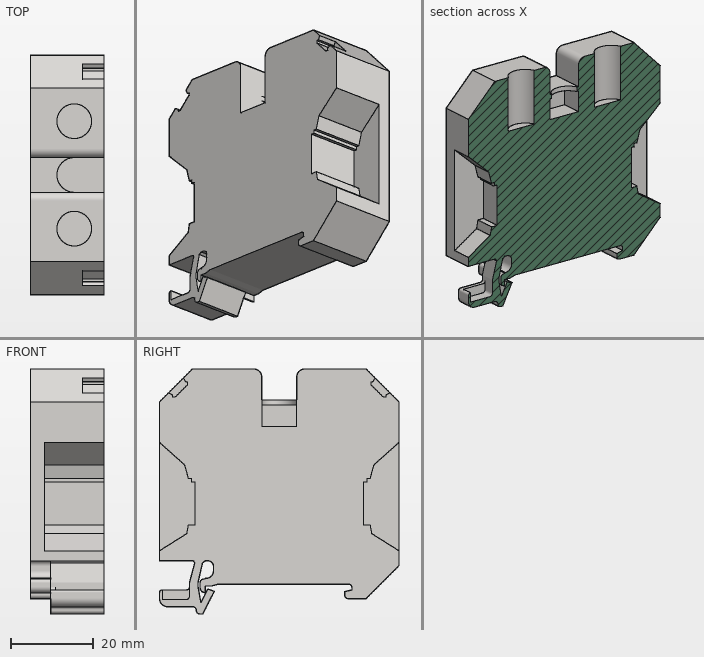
import cadquery as cq


thickness = 17.9
length = 58.0
height = 59.35
mid_y = length / 2

corner_chamfer = 8.0
shoulder_z = 12.85
rail_seat_z = 7.2
rail_seat_end_y = 14.2
foot_z = 3.7
foot_tip_y = 44.8
foot_groove_y = 46.55
foot_lip_z = 5.45
foot_lip_rise = 0.4
foot_round = 0.9
foot_groove_round = 0.7

relief_y = 13.05
relief_top_round = 1.3
relief_bottom_round = 1.75
relief_floor_z = 8.67
hook_y = 9.8
hook_inner_y = 11.1
hook_step_y = 11.0
hook_step_run = 0.15
hook_top_z = 8.5
hook_top_round = 1.0
hook_bottom_z = 5.15
hook_throat_z = 6.75
hook_throat_y = 12.6

slot_width = 8.4
slot_depth = 7.5
slot_round = 2.0
well_diameter = 8.4
well_x = 10.65
well_pitch = 26.0
well_depth = 14.0
cavity_roof = 1.2
cavity_wall = 3.5

pocket_wall = 3.5
pocket_top_z = 41.55
pocket_bottom_z = 15.3
pocket_ledge_y = 7.0
pocket_step_y = 7.8
pocket_throat_y = 6.6
pocket_top_throat_y = 6.1
pocket_floor_y = 8.65
funnel_top_z = 36.1
funnel_bottom_z = 19.45
floor_top_z = 32.0
floor_bottom_z = 21.6
upper_ledge_z = 32.85

marker_x = 12.6
marker_start = 2.2
marker_end = 5.8
marker_wall_run = 0.9
marker_wall_drop = 0.5
marker_step_run = 0.1
marker_step_drop = 0.55
marker_flat = 0.6

clip_x = 4.95
clip_weld = 0.5
leg_top_z = 12.35
leg_bend_z = 7.6
leg_outer_y = 7.25
leg_outer_top_y = 8.5
leg_outer_root_y = 8.2
leg_inner_y = 9.35
leg_inner_top_y = 10.45
leg_inner_root_y = 11.1
bar_top_z = 5.88
bar_bottom_z = 1.75
bar_top_round = 0.7
bar_bottom_round = 2.0
bar_fillet = 0.6
jaw_side_y = 8.9
jaw_fillet = 0.85
jaw_tip_round = bar_bottom_z - jaw_fillet
jaw_bottom_y = 10.5
jaw_nose = (13.3, 5.5)
jaw_heel = (11.7, 6.1)
jaw_notch = (10.05, 2.8)
tray_x = 6.1
tray_floor_z = 3.5
tray_fillet = 0.8


def extrude_x(profile, x_start, x_end):
    """Extrude a YZ profile between two X positions."""
    return profile.extrude(x_end - x_start).translate((x_start, 0, 0))


def mirror_along_length(solid):
    """Mirror a solid about the middle of the block length."""
    return solid.mirror("XZ", (0, mid_y, 0))


def make_body():
    hook_tip_round = hook_inner_y - hook_y
    profile = (
        cq.Workplane("YZ")
        .moveTo(0, shoulder_z)
        .lineTo(0, height - corner_chamfer)
        .lineTo(corner_chamfer, height)
        .lineTo(length - corner_chamfer, height)
        .lineTo(length, height - corner_chamfer)
        .lineTo(length, foot_z + corner_chamfer)
        .lineTo(length - corner_chamfer, foot_z)
        .lineTo(foot_tip_y + foot_round, foot_z)
        .radiusArc((foot_tip_y, foot_z + foot_round), foot_round)
        .lineTo(foot_tip_y, foot_lip_z)
        .lineTo(foot_groove_y, foot_lip_z + foot_lip_rise)
        .lineTo(foot_groove_y, rail_seat_z - foot_groove_round)
        .radiusArc((foot_groove_y - foot_groove_round, rail_seat_z), -foot_groove_round)
        .lineTo(rail_seat_end_y, rail_seat_z)
        .lineTo(hook_throat_y, hook_throat_z)
        .lineTo(hook_inner_y, hook_throat_z)
        .lineTo(hook_inner_y, hook_bottom_z)
        .radiusArc((hook_y, hook_bottom_z + hook_tip_round), hook_tip_round)
        .lineTo(hook_y, hook_top_z - hook_top_round)
        .radiusArc((hook_y + hook_top_round, hook_top_z), hook_top_round)
        .lineTo(hook_step_y, hook_top_z)
        .lineTo(hook_step_y + hook_step_run, relief_floor_z)
        .lineTo(relief_y - relief_bottom_round, relief_floor_z)
        .radiusArc((relief_y, relief_floor_z + relief_bottom_round), -relief_bottom_round)
        .lineTo(relief_y, shoulder_z - relief_top_round)
        .radiusArc((relief_y - relief_top_round, shoulder_z), -relief_top_round)
        .close()
    )
    return extrude_x(profile, 0, thickness)


def make_clip():
    root_z = shoulder_z + clip_weld
    profile = (
        cq.Workplane("YZ")
        .moveTo(leg_outer_root_y, root_z)
        .lineTo(leg_outer_root_y, shoulder_z)
        .lineTo(leg_outer_top_y, leg_top_z)
        .lineTo(leg_outer_y, leg_bend_z)
        .lineTo(leg_outer_y, bar_top_z + bar_fillet)
        .radiusArc((leg_outer_y - bar_fillet, bar_top_z), bar_fillet)
        .lineTo(bar_top_round, bar_top_z)
        .radiusArc((0, bar_top_z - bar_top_round), -bar_top_round)
        .lineTo(0, bar_bottom_z + bar_bottom_round)
        .radiusArc((bar_bottom_round, bar_bottom_z), -bar_bottom_round)
        .lineTo(jaw_side_y - jaw_fillet, bar_bottom_z)
        .radiusArc((jaw_side_y, bar_bottom_z - jaw_fillet), jaw_fillet)
        .radiusArc((jaw_side_y + jaw_tip_round, 0), -jaw_tip_round)
        .lineTo(jaw_bottom_y, 0)
        .lineTo(*jaw_nose)
        .lineTo(*jaw_heel)
        .lineTo(*jaw_notch)
        .lineTo(leg_inner_y, hook_throat_z)
        .lineTo(leg_inner_y, leg_bend_z)
        .lineTo(leg_inner_top_y, leg_top_z)
        .lineTo(leg_inner_root_y, shoulder_z)
        .lineTo(leg_inner_root_y, root_z)
        .close()
    )
    return extrude_x(profile, clip_x, thickness)


def make_tray():
    """Recess in the top of the release bar, running out through X = thickness."""
    profile = (
        cq.Workplane("YZ")
        .moveTo(leg_outer_y, bar_top_z + bar_fillet)
        .lineTo(leg_outer_y, tray_floor_z + tray_fillet)
        .radiusArc((leg_outer_y - tray_fillet, tray_floor_z), tray_fillet)
        .lineTo(bar_top_round, tray_floor_z)
        .lineTo(bar_top_round, bar_top_z + bar_fillet)
        .close()
    )
    return extrude_x(profile, tray_x, thickness)


def make_slot():
    """Centre slot with rounded upper edges."""
    wall_y = mid_y - slot_width / 2
    far_wall_y = mid_y + slot_width / 2
    floor_z = height - slot_depth
    profile = (
        cq.Workplane("YZ")
        .moveTo(wall_y, floor_z)
        .lineTo(wall_y, height - slot_round)
        .radiusArc((wall_y - slot_round, height), -slot_round)
        .lineTo(far_wall_y + slot_round, height)
        .radiusArc((far_wall_y, height - slot_round), -slot_round)
        .lineTo(far_wall_y, floor_z)
        .close()
    )
    return extrude_x(profile, 0, thickness)


def make_screw_wells():
    return (
        cq.Workplane("XY", origin=(well_x, mid_y, height - well_depth))
        .pushPoints([(0, -well_pitch / 2), (0, well_pitch / 2)])
        .circle(well_diameter / 2)
        .extrude(well_depth)
    )


def make_jumper_cavity():
    """Cavity below the slot with a U-shaped mouth, both open at X = thickness."""
    cavity_top_z = height - slot_depth - cavity_roof
    cavity = (
        cq.Workplane("XY", origin=(cavity_wall, mid_y, height - well_depth))
        .box(
            thickness - cavity_wall,
            slot_width,
            well_depth - slot_depth - cavity_roof,
            centered=(False, True, False),
        )
    )
    mouth = (
        cq.Workplane("XY", origin=(0, mid_y, cavity_top_z))
        .moveTo(thickness, -slot_width / 2)
        .lineTo(well_x, -slot_width / 2)
        .threePointArc((well_x - slot_width / 2, 0), (well_x, slot_width / 2))
        .lineTo(thickness, slot_width / 2)
        .close()
        .extrude(cavity_roof)
    )
    return cavity.union(mouth)


def make_pocket():
    profile = cq.Workplane("YZ").polyline([
        (0, pocket_top_z),
        (pocket_top_throat_y, funnel_top_z),
        (pocket_ledge_y, upper_ledge_z),
        (pocket_step_y, upper_ledge_z),
        (pocket_step_y, floor_top_z),
        (pocket_floor_y, floor_top_z),
        (pocket_floor_y, floor_bottom_z),
        (pocket_ledge_y, floor_bottom_z),
        (pocket_throat_y, funnel_bottom_z),
        (0, pocket_bottom_z),
    ]).close()
    return extrude_x(profile, pocket_wall, thickness)


def make_marker_notch():
    """Notch in the chamfer, symmetric about the line square to it, narrowing towards its floor."""
    chamfer_base_z = height - corner_chamfer
    run_and_drop = [
        (0, 0),
        (marker_wall_run, marker_wall_drop),
        (marker_wall_run + marker_step_run, marker_wall_drop + marker_step_drop),
        (marker_wall_run + marker_step_run + marker_flat, marker_wall_drop + marker_step_drop),
    ]
    lower_side = [(marker_start + run, chamfer_base_z + marker_start - drop) for run, drop in run_and_drop]
    upper_side = [(marker_end + drop, chamfer_base_z + marker_end - run) for run, drop in run_and_drop]
    profile = cq.Workplane("YZ").polyline(lower_side + upper_side[::-1]).close()
    return extrude_x(profile, marker_x, thickness)


result = make_body().union(make_clip())
for cutter in (make_tray(), make_slot(), make_screw_wells(), make_jumper_cavity()):
    result = result.cut(cutter)
for side_cut in (make_pocket(), make_marker_notch()):
    result = result.cut(side_cut).cut(mirror_along_length(side_cut))